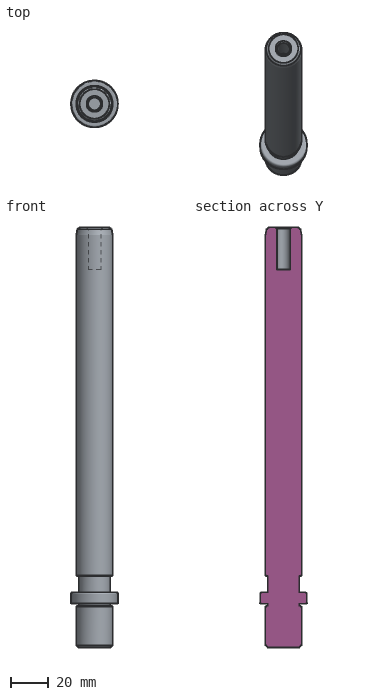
import cadquery as cq

total_length = 223.0
shaft_diameter = 19.5
shaft_radius = shaft_diameter / 2
flange_radius = 12.5
neck_radius = 8.5

spigot_top = 22.3
flange_bottom = 23.2
flange_top = 29.5
shaft_bottom = 38.0

spigot_chamfer_height = 1.3
spigot_end_radius = neck_radius
flange_fillet = 1.1
flange_lower_chamfer = 0.5
spigot_edge_chamfer = 0.7
shaft_edge_chamfer = 0.5

taper_height = 4.0
taper_end_radius = 9.1
end_chamfer_height = 1.1
end_face_radius = 7.8

hole_radius = 3.3
hole_depth = 22.3
countersink_radius = 4.2
countersink_depth = countersink_radius - hole_radius


def revolve_profile(points):
    """Revolve a closed (radius, height) outline around the Z axis."""
    return cq.Workplane("XZ").polyline(points).close().revolve(360, (0, 0), (0, 1))


def make_pin():
    """Spigot, relief groove, flange, neck and long shaft in one outline."""
    return revolve_profile([
        (0, 0),
        (spigot_end_radius, 0),
        (shaft_radius, spigot_chamfer_height),
        (shaft_radius, spigot_top - spigot_edge_chamfer),
        (shaft_radius - spigot_edge_chamfer, spigot_top),
        (neck_radius, spigot_top),
        (neck_radius, flange_bottom),
        (flange_radius - flange_lower_chamfer, flange_bottom),
        (flange_radius, flange_bottom + flange_lower_chamfer),
        (flange_radius, flange_top),
        (neck_radius, flange_top),
        (neck_radius, shaft_bottom),
        (shaft_radius - shaft_edge_chamfer, shaft_bottom),
        (shaft_radius, shaft_bottom + shaft_edge_chamfer),
        (shaft_radius, total_length - taper_height),
        (taper_end_radius, total_length - end_chamfer_height),
        (end_face_radius, total_length),
        (0, total_length),
    ])


def make_end_hole():
    """Countersunk blind hole, open at the top end."""
    return revolve_profile([
        (0, total_length - hole_depth),
        (hole_radius, total_length - hole_depth),
        (hole_radius, total_length - countersink_depth),
        (countersink_radius, total_length),
        (0, total_length),
    ])


def round_flange_edge(pin):
    """Fillet the upper outer edge of the flange."""
    upper_rim = cq.selectors.RadiusNthSelector(-1)
    return pin.faces(cq.selectors.NearestToPointSelector(
        ((flange_radius + neck_radius) / 2, 0, flange_top)
    )).edges(upper_rim).fillet(flange_fillet)


result = round_flange_edge(make_pin()).cut(make_end_hole())